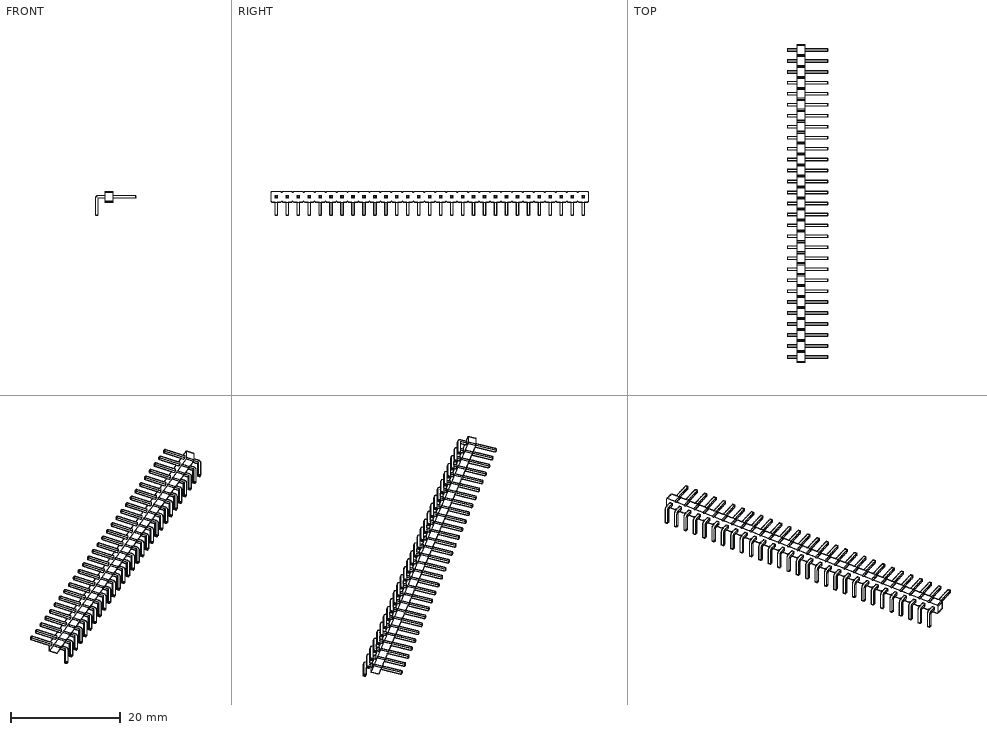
import cadquery as cq

pin_count = 29
row_length = 58.0
pitch = row_length / pin_count

housing_width = 1.5
housing_height = pitch
housing_chamfer = 0.2

pin_size = 0.5
tip_chamfer = 0.1
pin_length = 7.4
leg_to_housing = 1.75
total_height = 4.4

housing_middle_z = total_height - housing_height / 2
pin_top_z = housing_middle_z + pin_size / 2


def pin_centre_y(index):
    """Y position of a pin, with the row centred on Y = 0."""
    return (index - (pin_count - 1) / 2) * pitch


def housing_segment(centre_y):
    """One housing block with its four long edges (along X) chamfered."""
    return (
        cq.Workplane("XY")
        .box(housing_width, pitch, housing_height)
        .edges("|X")
        .chamfer(housing_chamfer)
        .translate((leg_to_housing + housing_width / 2, centre_y, housing_middle_z))
    )


def bent_pin(centre_y):
    """One L-shaped square pin: bend rounded on the outside, both tips chamfered all round."""
    pin = (
        cq.Workplane("XZ")
        .lineTo(pin_size, 0)
        .lineTo(pin_size, pin_top_z - pin_size)
        .lineTo(pin_length, pin_top_z - pin_size)
        .lineTo(pin_length, pin_top_z)
        .lineTo(pin_size, pin_top_z)
        .radiusArc((0, pin_top_z - pin_size), -pin_size)
        .close()
        .extrude(pin_size / 2, both=True)
    )
    pin = pin.faces(">X").chamfer(tip_chamfer)
    pin = pin.faces("<Z").chamfer(tip_chamfer)
    return pin.translate((0, centre_y, 0))


result = housing_segment(pin_centre_y(0))
for index in range(1, pin_count):
    result = result.union(housing_segment(pin_centre_y(index)))
for index in range(pin_count):
    result = result.union(bent_pin(pin_centre_y(index)))